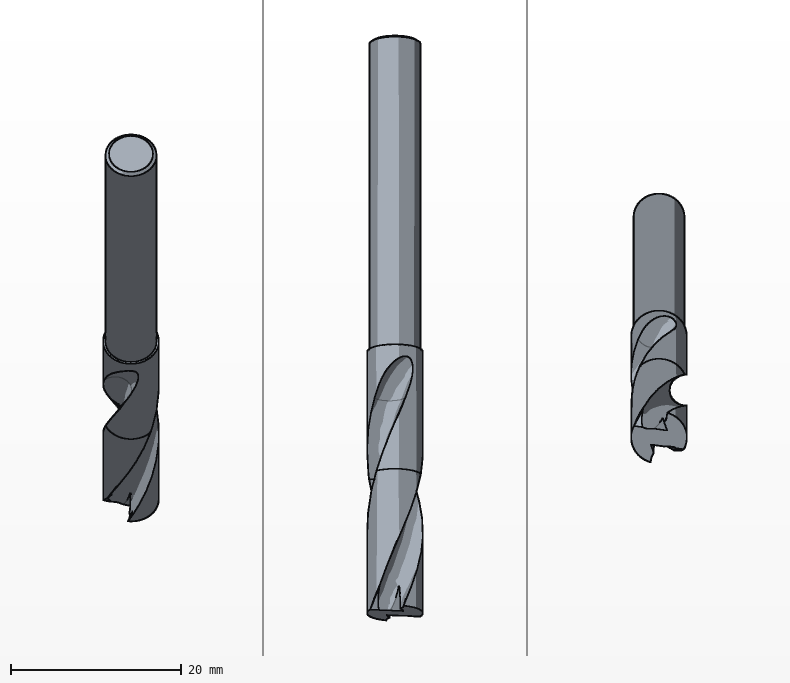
import cadquery as cq
import math

TOTAL_LENGTH = 70.0
CUTTING_LENGTH = 16.7
FLUTE_END = 25.7
RUNOUT_END = 30.6
NECK_HEIGHT = 32.0

TOOL_DIAMETER = 6.6
SHANK_DIAMETER = 6.0
CHAMFER_WIDTH = 0.4
CHAMFER_HEIGHT = 0.3

FLUTE_COUNT = 2
FLUTE_LEAD = 50.0
FLUTE_RADIUS = 1.95
CORE_RADIUS = 1.25
FLUTE_START_ANGLE = -90.0
RUNOUT_SECTIONS = 5
SECTION_OVERLAP = 0.1

GASH_HEIGHT = 2.95
GASH_CORNER_ANGLE = 225.0
GASH_TOP_ANGLE = 257.0
GASH_INNER = (1.2, -0.55)
GASH_TOP_INNER = (0.85, -1.0)

tool_radius = TOOL_DIAMETER / 2
shank_radius = SHANK_DIAMETER / 2
flute_offset = CORE_RADIUS + FLUTE_RADIUS


def twist_at(height):
    """Angle in degrees through which the flutes have turned at a height."""
    return 360 * height / FLUTE_LEAD


def flute_section(height, shift=0.0):
    """Circle of the flute cutter at a height, moved outward by a shift."""
    angle = math.radians(FLUTE_START_ANGLE + twist_at(height))
    distance = flute_offset + shift
    center = cq.Vector(distance * math.cos(angle), distance * math.sin(angle), height)
    return cq.Wire.makeCircle(FLUTE_RADIUS, center, cq.Vector(0, 0, 1))


def helical_cutter():
    """Full-depth stretch of one flute."""
    start = -SECTION_OVERLAP
    section = cq.Face.makeFromWires(flute_section(start))
    return cq.Solid.extrudeLinearWithRotation(
        section,
        cq.Vector(0, 0, start),
        cq.Vector(0, 0, FLUTE_END - start),
        twist_at(FLUTE_END - start),
    )


def runout_cutter():
    """Upper stretch of one flute, rising out of the tool along a parabola."""
    full_shift = tool_radius - CORE_RADIUS
    sections = []
    for i in range(RUNOUT_SECTIONS):
        fraction = i / (RUNOUT_SECTIONS - 1)
        height = FLUTE_END + fraction * (RUNOUT_END - FLUTE_END)
        sections.append(flute_section(height, full_shift * fraction**2))
    return cq.Solid.makeLoft(sections)


def gash_section(height, corner_angle, inner):
    """Outline of the gash at a height, open toward -Y beyond the tool's outer surface."""
    angle = math.radians(corner_angle)
    corner = (tool_radius * math.cos(angle), tool_radius * math.sin(angle))
    outside = -TOOL_DIAMETER
    points = [corner, inner, (inner[0], outside), (corner[0], outside)]
    return cq.Wire.makePolygon([cq.Vector(x, y, height) for x, y in points], close=True)


def gash_cutter():
    """Gash with a slightly twisted floor, narrowing toward its top."""
    bottom = gash_section(0, GASH_CORNER_ANGLE, GASH_INNER)
    top = gash_section(GASH_HEIGHT, GASH_TOP_ANGLE, GASH_TOP_INNER)
    return cq.Solid.makeLoft([bottom, top], True)


def cut_flutes(blank, cutters):
    """Cut one set of flute cutters for every flute."""
    for i in range(FLUTE_COUNT):
        for cutter in cutters:
            turned = cutter.rotate((0, 0, 0), (0, 0, 1), 360 * i / FLUTE_COUNT)
            blank = blank.cut(cq.Workplane(turned))
    return blank


def make_cutting_end(helix):
    """Fluted cutting end, the lower body."""
    blank = cq.Workplane().circle(tool_radius).extrude(CUTTING_LENGTH)
    return cut_flutes(blank, [helix, gash_cutter()])


def make_holder(helix):
    """Shank with the upper part of the flutes, the upper body."""
    profile = [
        (0, CUTTING_LENGTH),
        (tool_radius, CUTTING_LENGTH),
        (tool_radius, NECK_HEIGHT),
        (shank_radius, NECK_HEIGHT),
        (shank_radius, TOTAL_LENGTH - CHAMFER_HEIGHT),
        (shank_radius - CHAMFER_WIDTH, TOTAL_LENGTH),
        (0, TOTAL_LENGTH),
    ]
    blank = cq.Workplane("XZ").polyline(profile).close().revolve(360, (0, 0), (0, 1))
    return cut_flutes(blank, [helix, runout_cutter()])


helix = helical_cutter()
cutting_end = make_cutting_end(helix)
holder = make_holder(helix)

result = cq.Compound.makeCompound([*cutting_end.vals(), *holder.vals()])